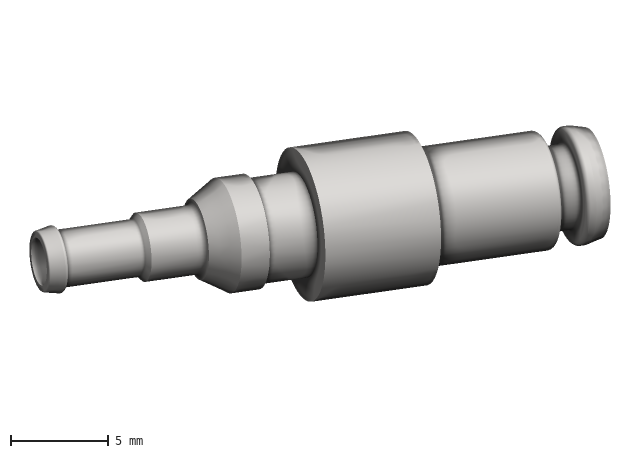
import cadquery as cq
import math

total_length = 30.0
barb_top = 1.02
neck_top = 5.2
step_top = 5.5
cone_start = 8.5
cone_end = 9.95
flange_top = 11.5
body_start = 14.15
body_end = 20.43
groove_start = 27.33
groove_end = 28.62
head_taper_start = 29.15

bore_diameter = 2.5
tip_diameter = 3.18
neck_diameter = 3.0
barb_diameter = 3.6
cone_small_diameter = 4.23
flange_diameter = 6.0
stem_diameter = 5.5
body_diameter = 8.0
plug_diameter = 6.2
groove_diameter = 4.45
head_end_diameter = 5.8

tip_round = 0.1
barb_round = 0.15
step_fillet = 0.12
cone_fillet = 0.25
plug_round = 0.25
groove_fillet = 0.18

outline = [
    (bore_diameter, 0, 0),
    (tip_diameter, 0, tip_round),
    (barb_diameter, barb_top, barb_round),
    (neck_diameter, barb_top, 0),
    (neck_diameter, neck_top, step_fillet),
    (barb_diameter, step_top, 0),
    (barb_diameter, cone_start, cone_fillet),
    (cone_small_diameter, cone_start, 0),
    (flange_diameter, cone_end, 0),
    (flange_diameter, flange_top, 0),
    (stem_diameter, flange_top, 0),
    (stem_diameter, body_start, 0),
    (body_diameter, body_start, 0),
    (body_diameter, body_end, 0),
    (plug_diameter, body_end, 0),
    (plug_diameter, groove_start, plug_round),
    (groove_diameter, groove_start, groove_fillet),
    (groove_diameter, groove_end, groove_fillet),
    (plug_diameter, groove_end, plug_round),
    (plug_diameter, head_taper_start, 0),
    (head_end_diameter, total_length, 0),
    (bore_diameter, total_length, 0),
]


def add_rounded_corner(sketch, before, corner, after, radius):
    """Draw a line up to the corner and a tangent arc around it."""
    corner = cq.Vector(*corner)
    back = (cq.Vector(*before) - corner).normalized()
    ahead = (cq.Vector(*after) - corner).normalized()
    half_angle = back.getAngle(ahead) / 2
    setback = radius / math.tan(half_angle)
    middle_distance = radius / math.sin(half_angle) - radius
    arc_start = corner + back * setback
    arc_middle = corner + (back + ahead).normalized() * middle_distance
    arc_end = corner + ahead * setback
    sketch = sketch.lineTo(arc_start.x, arc_start.y)
    return sketch.threePointArc((arc_middle.x, arc_middle.y), (arc_end.x, arc_end.y))


def make_half_section():
    """Closed section between the bore and the outer surface."""
    points = [(diameter / 2, station) for diameter, station, _ in outline]
    sketch = cq.Workplane("XY").moveTo(*points[0])
    for index in range(1, len(points)):
        radius = outline[index][2]
        if radius > 0:
            sketch = add_rounded_corner(
                sketch, points[index - 1], points[index], points[index + 1], radius
            )
        else:
            sketch = sketch.lineTo(*points[index])
    return sketch.close()


result = make_half_section().revolve(360, (0, 0, 0), (0, 1, 0))